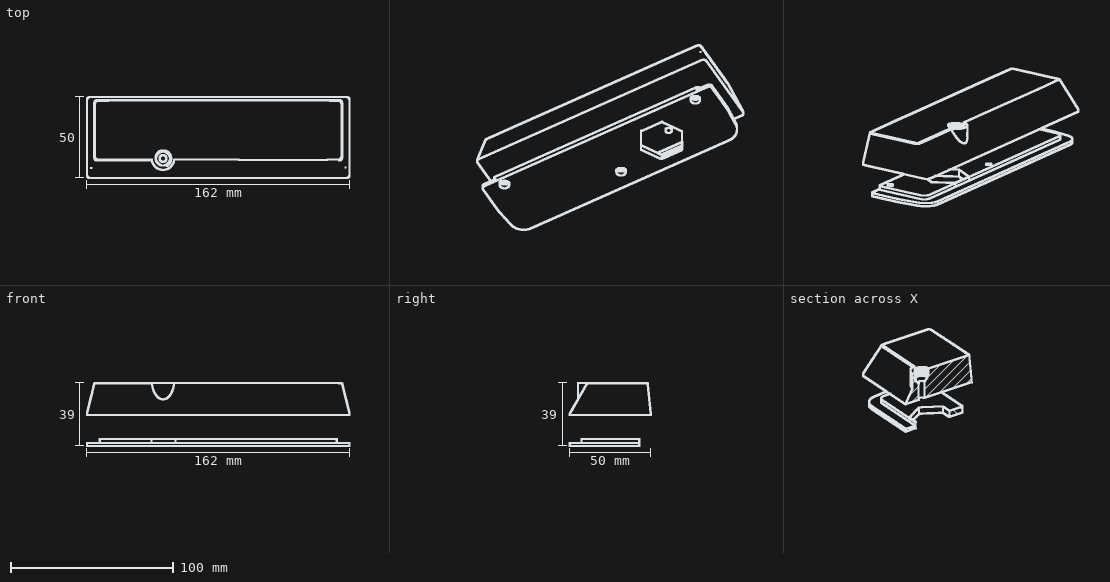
import cadquery as cq
import math

length = 162.0
depth = 50.0
total_height = 39.0
front_y = -depth / 2

housing_height = 20.0
housing_bottom_z = total_height - housing_height
rim_height = 1.0
end_setback = 4.7
front_setback = 11.0
back_setback = 2.0
housing_edge_radius = 2.1
top_chamfer = 0.5

boss_x = -34.0
boss_y = -13.0
boss_diameter = 14.0
boss_height = 13.0
bore_diameter = 8.6
bore_depth = 6.0
thread_diameter = 10.2
thread_pitch = 1.5
thread_depth = 5.2
thread_turns = 4.5
thread_flank_rise = 0.6
thread_overlap = 0.08
thread_start_angle = -110
cone_depth = 2.3
through_diameter = 4.0

flange_thickness = 2.1
pad_height = 2.5
plate_thickness = flange_thickness + pad_height
plate_back_y = 18.0
flange_straight_y = -3.4
flange_taper_angle = 6.3
flange_front_radius = 9.5
pad_length = 146.1
pad_front_y = -17.8
pad_front_radius = 4.0
plate_back_radius = 2.0

window_side = 14.5
window_x = -33.7
window_front_y = -17.3
screw_diameter = 3.4
screw_head_diameter = 6.0
screw_head_depth = 3.7
screw_front_y = -13.6
screw_back_x = 67.5
screw_back_y = 13.0


def make_housing_shell():
    """Rim and leaning walls, rounded at the corners and along the rim, with a chamfered top edge."""
    wall_height = housing_height - rim_height
    top_length = length - 2 * end_setback
    top_depth = depth - front_setback - back_setback
    top_centre_y = (front_setback - back_setback) / 2

    rim = cq.Workplane("XY").box(length, depth, rim_height, centered=(True, True, False))
    walls = (
        cq.Workplane("XY")
        .workplane(offset=rim_height)
        .rect(length, depth)
        .workplane(offset=wall_height)
        .center(0, top_centre_y)
        .rect(top_length, top_depth)
        .loft(ruled=True)
    )
    sharp_shell = rim.union(walls)
    rounded_shell = sharp_shell.edges("not (<Z or >Z)").fillet(housing_edge_radius)
    chamfered_shell = rounded_shell.faces(">Z").chamfer(top_chamfer)
    return chamfered_shell.translate((0, 0, housing_bottom_z))


def make_boss():
    """Upright cylinder that stands out of the front wall, level with the top."""
    return (
        cq.Workplane("XY", origin=(boss_x, boss_y, total_height))
        .circle(boss_diameter / 2)
        .extrude(-boss_height)
    )


def make_boss_hole():
    """Bore, cone and through hole, turned about the boss axis."""
    bore_radius = bore_diameter / 2
    through_radius = through_diameter / 2
    return (
        cq.Workplane("XZ", origin=(boss_x, boss_y, total_height))
        .lineTo(bore_radius, 0)
        .lineTo(bore_radius, -bore_depth)
        .lineTo(through_radius, -bore_depth - cone_depth)
        .lineTo(through_radius, -housing_height)
        .lineTo(0, -housing_height)
        .close()
        .revolve(360, (0, 0, 0), (0, 1, 0))
    )


def make_thread_groove():
    """V-shaped helical groove in the bore wall, running out through the top of the boss."""
    root_radius = thread_diameter / 2
    inner_radius = bore_diameter / 2 - thread_overlap
    helix = cq.Wire.makeHelix(thread_pitch, thread_turns * thread_pitch, inner_radius)
    groove = (
        cq.Workplane("XZ")
        .moveTo(inner_radius, -thread_flank_rise)
        .lineTo(root_radius, 0)
        .lineTo(inner_radius, thread_flank_rise)
        .close()
        .sweep(cq.Workplane(obj=helix), isFrenet=True)
    )
    turned_groove = groove.rotate((0, 0, 0), (0, 0, 1), thread_start_angle)
    return turned_groove.translate((boss_x, boss_y, total_height - thread_depth))


def make_flange():
    """Thin plate whose ends taper slightly inward towards the rounded front corners."""
    taper = math.radians(flange_taper_angle)
    half_length = length / 2
    arc_centre_y = front_y + flange_front_radius
    touch_dx = flange_front_radius * math.cos(taper)
    touch_dy = -flange_front_radius * math.sin(taper)
    touch_y = arc_centre_y + touch_dy
    touch_x = half_length - (flange_straight_y - touch_y) * math.tan(taper)
    arc_centre_x = touch_x - touch_dx
    middle_angle = (math.pi / 2 + taper) / 2
    middle_x = arc_centre_x + flange_front_radius * math.cos(middle_angle)
    middle_y = arc_centre_y - flange_front_radius * math.sin(middle_angle)

    return (
        cq.Workplane("XY")
        .moveTo(-half_length, plate_back_y)
        .lineTo(-half_length, flange_straight_y)
        .lineTo(-touch_x, touch_y)
        .threePointArc((-middle_x, middle_y), (-arc_centre_x, front_y))
        .lineTo(arc_centre_x, front_y)
        .threePointArc((middle_x, middle_y), (touch_x, touch_y))
        .lineTo(half_length, flange_straight_y)
        .lineTo(half_length, plate_back_y)
        .close()
        .extrude(flange_thickness)
        .edges("|Z and >Y")
        .fillet(plate_back_radius)
    )


def make_pad():
    """Raised pad on the flange, with larger corners at the front."""
    pad_depth = plate_back_y - pad_front_y
    return (
        cq.Workplane("XY", origin=(0, (plate_back_y + pad_front_y) / 2, 0))
        .rect(pad_length, pad_depth)
        .extrude(plate_thickness)
        .edges("|Z and <Y")
        .fillet(pad_front_radius)
        .edges("|Z and >Y")
        .fillet(plate_back_radius)
    )


def make_window():
    """Hexagonal opening below the boss, with one flat side along the front."""
    window_across_corners = 2 * window_side
    window_centre_y = window_front_y + window_side * math.cos(math.pi / 6)
    return (
        cq.Workplane("XY", origin=(window_x, window_centre_y, 0))
        .polygon(6, window_across_corners)
        .extrude(plate_thickness)
    )


def make_screw_holes():
    """Holes with head recesses from below: one at the front middle, one near each back corner."""
    hole_places = [
        (0, screw_front_y),
        (-screw_back_x, screw_back_y),
        (screw_back_x, screw_back_y),
    ]
    layout = cq.Workplane("XY").pushPoints(hole_places)
    shanks = layout.circle(screw_diameter / 2).extrude(plate_thickness)
    heads = layout.circle(screw_head_diameter / 2).extrude(screw_head_depth)
    return shanks.union(heads)


def make_housing():
    return make_housing_shell().union(make_boss()).cut(make_boss_hole()).cut(make_thread_groove())


def make_base_plate():
    blank = make_flange().union(make_pad())
    return blank.cut(make_window()).cut(make_screw_holes())


housing = make_housing()
base_plate = make_base_plate()

result = cq.Compound.makeCompound([housing.val(), base_plate.val()])